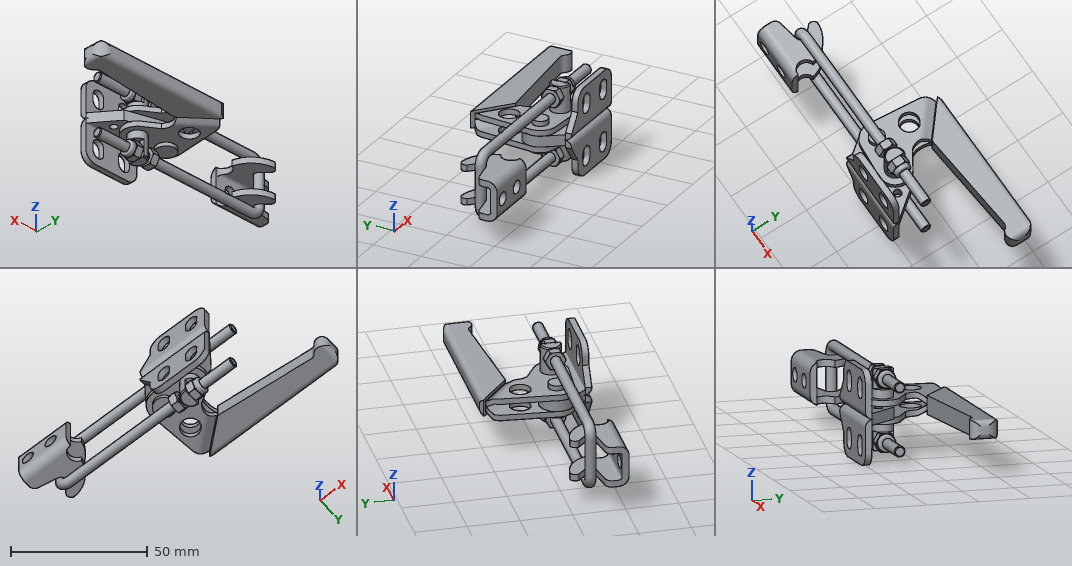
import cadquery as cq
import math


PIVOT = (58.9, 13.3)
TRUNNION = (72.5, 12.2)
BOLT_HEIGHT = TRUNNION[1]
SHEET = 2.3
WALL_THICKNESS = 4.5
WALL_HALF = WALL_THICKNESS / 2
LEVER_HALF = WALL_HALF + SHEET
JOINT_RADIUS = 6.6
ALL_Z = 48.3

KEEPER_LENGTH = 22.8
KEEPER_HALF = 8.2
KEEPER_SHEET = 2.7
KEEPER_BEND = 4.0
KEEPER_HOLE_X = (4.5, 15.5)
KEEPER_HOLE_RADIUS = 2.7
CORNER_TOP = (2.3, 8.6)
CORNER_MID = (0.6, 7.6)
CORNER_LOW_Y = 5.7
NOTCH_RADIUS = 2.2
NOTCH_UPPER_ANGLE = 45
NOTCH_MID_ANGLE = -20
NOTCH_LOWER_ANGLE = -80
HOOK_CENTRE = (9.3, 7.2)
HOOK_RADIUS = 12.8
HOOK_MID_ANGLE = 50
HOOK_TIP_TOP = (9.5, 20.0)
HOOK_TIP_FRONT = (8.1, 18.3)
HOOK_TIP_LOWER = (8.3, 16.9)
RELIEF_TOP_Y = 9.9
RELIEF_DEEP = (19.1, 5.8)
RELIEF_END_X = 21.7

BOLT_RADIUS = 2.0
BOLT_SPACING = 24.0
BOLT_Z = BOLT_SPACING / 2
BOLT_BEND = 4.0
BOLT_CROSS_X = 10.1
BOLT_END_X = 93.3
BOLT_CHAMFER = 0.4
NUT_CORNERS = 8.1
FRONT_NUT_X = 65.0
REAR_NUT_X = 73.2
NUT_THICKNESS = 3.3
NUT_CHAMFER = 0.4
COLLAR_LENGTH = 2.0
COLLAR_DIAMETER = 6.6
COLLAR_ROUND = 0.6
TRUNNION_RADIUS = 4.0
TRUNNION_TOP = 15.5
TRUNNION_CHAMFER = 0.5

PLATE_LEFT = 63.4
PLATE_RIGHT = 89.7
PLATE_HALF = 18.0
PLATE_SHEET = 2.5
PLATE_CORNER = 5.1
NECK_X = 58.5
NECK_Z = 3.0
SHOULDER_Z = 9.8
FOLD_RADIUS = 3.0
FOLD_FILLET = 0.5
SLOT_X = (70.0, 83.2)
SLOT_Z = 10.7
SLOT_WIDTH = 5.4
SLOT_LENGTH = 8.0
WALL_RADIUS = 6.8
WALL_MID_ANGLE = 150
WALL_REAR = (81.0, 13.9)
WALL_HOLE = (80.5, 8.0)
WALL_HOLE_RADIUS = 1.6

BEND_START = (55.3, 36.3)
BEND_ANGLE = 40.0
BEND_CORNER = 1.1
BEND_END = 4.6
BEND_FILLET = 3.7
SHEET_REACH = 120.7
LEVER_FRONT = (54.2, 34.4)
LEVER_CORNER_MID = (55.4, 37.9)
LEVER_TOP = 40.3
LEVER_TOP_X = 58.7
LEVER_REAR_ANGLE = -30
LEVER_FRONT_ANGLE = -140
CORE_END_X = 116.5
CORE_END_Y = 35.3
CORE_START = (71.2, 31.3)
CREST_TOP = (69.7, 29.8)
CREST_MID = (68.2, 25.6)
CREST_LOW = (69.7, 21.9)
LEVER_HOLE = (60.1, 26.8)
LEVER_HOLE_RADIUS = 4.0
RIVET_RADIUS = 2.4
RIVET_TOP_RADIUS = 3.1
RIVET_TOP_Z = 6.5
RIVET_BOTTOM_RADIUS = 4.3
RIVET_BOTTOM_Z = -6.2

GRIP_TOP = 42.4
GRIP_WIDTH = 7.1
GRIP_HALF = GRIP_WIDTH / 2
GRIP_END = 120.7
GRIP_ROUND = 2.2
GRIP_START = 5.0
GRIP_TIP_X = 57.0
GRIP_TOP_START = 58.9
GRIP_HEEL_X = 70.7
GRIP_CORNER = 5.1
GRIP_CORNER_MID_ANGLE = 45
GRIP_KNOB_DIAMETER = 6.9
GRIP_KNOB = GRIP_KNOB_DIAMETER / 2
GRIP_KNOB_Y = 34.9
GRIP_KNOB_LOW_ANGLE = -90
GRIP_KNOB_END_ANGLE = 220
GRIP_HOLLOW_START = (112.8, 33.5)
GRIP_HOLLOW_MID = (113.8, 33.3)


def on_circle(centre, radius, degrees):
    """Point of a circle at an angle from the X direction."""
    angle = math.radians(degrees)
    return (centre[0] + radius * math.cos(angle), centre[1] + radius * math.sin(angle))


def tangent_point(point, centre, radius, side):
    """Point where a line from `point` touches a circle; side +1 lies counter-clockwise."""
    dx = point[0] - centre[0]
    dy = point[1] - centre[1]
    angle = math.atan2(dy, dx) + side * math.acos(radius / math.hypot(dx, dy))
    return on_circle(centre, radius, math.degrees(angle))


def slab(outline, half):
    """Extrude a closed XY outline evenly to both sides of Z = 0."""
    return outline.extrude(half, both=True)


def rod(centre, radius, z_from, z_to):
    """Cylinder along Z."""
    return cq.Workplane("XY", origin=(*centre, z_from)).circle(radius).extrude(z_to - z_from)


def make_keeper():
    """U-shaped hook plate with two screw holes."""
    notch = (BOLT_CROSS_X, BOLT_HEIGHT)
    notch_mid = on_circle(notch, NOTCH_RADIUS, NOTCH_MID_ANGLE)
    notch_lower = on_circle(notch, NOTCH_RADIUS, NOTCH_LOWER_ANGLE)
    relief_x = HOOK_CENTRE[0] + math.sqrt(HOOK_RADIUS**2 - (RELIEF_TOP_Y - HOOK_CENTRE[1]) ** 2)
    profile = slab(
        cq.Workplane("XY")
        .lineTo(KEEPER_LENGTH, 0)
        .lineTo(KEEPER_LENGTH, KEEPER_SHEET)
        .lineTo(RELIEF_END_X, KEEPER_SHEET)
        .threePointArc(RELIEF_DEEP, (relief_x, RELIEF_TOP_Y))
        .threePointArc(on_circle(HOOK_CENTRE, HOOK_RADIUS, HOOK_MID_ANGLE), HOOK_TIP_TOP)
        .threePointArc(HOOK_TIP_FRONT, HOOK_TIP_LOWER)
        .lineTo(*on_circle(notch, NOTCH_RADIUS, NOTCH_UPPER_ANGLE))
        .threePointArc(notch_mid, notch_lower)
        .lineTo(*CORNER_TOP)
        .threePointArc(CORNER_MID, (0, CORNER_LOW_Y))
        .close(),
        KEEPER_HALF,
    )
    outer = (
        cq.Workplane("XY")
        .box(KEEPER_LENGTH, ALL_Z, 2 * KEEPER_HALF, centered=(False, False, True))
        .edges("|X and <Y")
        .fillet(KEEPER_BEND)
    )
    inner = (
        cq.Workplane("XY", origin=(0, KEEPER_SHEET, 0))
        .box(KEEPER_LENGTH, ALL_Z, 2 * (KEEPER_HALF - KEEPER_SHEET), centered=(False, False, True))
        .edges("|X and <Y")
        .fillet(KEEPER_BEND - KEEPER_SHEET)
    )
    holes = (
        cq.Workplane("XZ")
        .pushPoints([(x, 0) for x in KEEPER_HOLE_X])
        .circle(KEEPER_HOLE_RADIUS)
        .extrude(-KEEPER_SHEET)
    )
    return profile.intersect(outer.cut(inner)).cut(holes)


def make_nut(x):
    """Hexagon nut with one corner pointing up and its corners bevelled at both faces."""
    start = cq.Workplane("YZ", origin=(x, BOLT_HEIGHT, BOLT_Z))
    hexagon = start.polygon(6, NUT_CORNERS).extrude(NUT_THICKNESS)
    bevel = start.circle(NUT_CORNERS / 2).extrude(NUT_THICKNESS).edges().chamfer(NUT_CHAMFER)
    return hexagon.intersect(bevel)


def make_rod_half():
    """Upper half of the bent rod: half of the crossbar, a quarter bend and one leg."""
    bend_x = BOLT_CROSS_X + BOLT_BEND
    bend_z = BOLT_Z - BOLT_BEND
    crossbar = rod((BOLT_CROSS_X, BOLT_HEIGHT), BOLT_RADIUS, 0, bend_z)
    bend = (
        cq.Workplane("XY", origin=(BOLT_CROSS_X, BOLT_HEIGHT, bend_z))
        .circle(BOLT_RADIUS)
        .revolve(90, (BOLT_BEND, 0), (BOLT_BEND, 1))
    )
    leg = (
        cq.Workplane("YZ", origin=(bend_x, BOLT_HEIGHT, BOLT_Z))
        .circle(BOLT_RADIUS)
        .extrude(BOLT_END_X - bend_x)
        .faces(">X")
        .chamfer(BOLT_CHAMFER)
    )
    return crossbar.union(bend).union(leg)


def make_trunnion():
    """Upright post on the lever, cut flat where the rear nut seats."""
    post = rod(TRUNNION, TRUNNION_RADIUS, LEVER_HALF, TRUNNION_TOP).faces(">Z").chamfer(TRUNNION_CHAMFER)
    seat = cq.Workplane("XY", origin=(REAR_NUT_X, BOLT_HEIGHT, BOLT_Z - NUT_CORNERS / 2)).box(
        TRUNNION_RADIUS * 2, TRUNNION_RADIUS * 2, TRUNNION_TOP, centered=(False, True, False)
    )
    return post.cut(seat)


def make_bolt():
    """U-shaped rod joined to a trunnion and a pair of nuts on each leg."""
    collar = (
        cq.Workplane("YZ", origin=(REAR_NUT_X + NUT_THICKNESS, BOLT_HEIGHT, BOLT_Z))
        .circle(COLLAR_DIAMETER / 2)
        .extrude(COLLAR_LENGTH)
        .faces(">X")
        .edges()
        .fillet(COLLAR_ROUND)
    )
    half = make_rod_half().union(make_trunnion()).union(collar)
    for x in (FRONT_NUT_X, REAR_NUT_X):
        half = half.union(make_nut(x))
    return half.union(half.mirror("XY"))


def make_wall_section():
    """Upright wall with a flared foot, longer than the base."""
    foot_half = WALL_HALF + FOLD_FILLET
    foot_top = PLATE_SHEET + FOLD_FILLET
    wall = cq.Workplane("XY").box(2 * PLATE_RIGHT, ALL_Z, 2 * WALL_HALF)
    foot = cq.Workplane("XY").box(2 * PLATE_RIGHT, foot_top, 2 * foot_half, centered=(True, False, True))
    flare = (
        cq.Workplane("YZ")
        .pushPoints([(foot_top, foot_half), (foot_top, -foot_half)])
        .circle(FOLD_FILLET)
        .extrude(PLATE_RIGHT, both=True)
    )
    return wall.union(foot.cut(flare))


def make_base():
    """Folded base: slotted mounting plate with a double-thickness wall along its middle."""
    plate = (
        cq.Workplane("XZ")
        .polyline(
            [
                (NECK_X, -NECK_Z),
                (PLATE_LEFT, -SHOULDER_Z),
                (PLATE_LEFT, -PLATE_HALF),
                (PLATE_RIGHT, -PLATE_HALF),
                (PLATE_RIGHT, PLATE_HALF),
                (PLATE_LEFT, PLATE_HALF),
                (PLATE_LEFT, SHOULDER_Z),
                (NECK_X, NECK_Z),
            ]
        )
        .close()
        .extrude(-PLATE_SHEET)
    )
    plate = plate.edges("|Y and (<Z or >Z)").fillet(PLATE_CORNER)
    wall_outline = slab(
        cq.Workplane("XY")
        .moveTo(NECK_X, 0)
        .lineTo(PLATE_RIGHT, 0)
        .lineTo(PLATE_RIGHT, PLATE_SHEET)
        .lineTo(*WALL_REAR)
        .lineTo(*tangent_point(WALL_REAR, PIVOT, WALL_RADIUS, 1))
        .threePointArc(
            on_circle(PIVOT, WALL_RADIUS, WALL_MID_ANGLE),
            tangent_point((NECK_X, PLATE_SHEET), PIVOT, WALL_RADIUS, -1),
        )
        .lineTo(NECK_X, PLATE_SHEET)
        .close(),
        ALL_Z,
    )
    base = plate.union(wall_outline.intersect(make_wall_section()))
    groove = cq.Workplane("XY", origin=(NECK_X, 0, 0)).box(
        PLATE_RIGHT - NECK_X, FOLD_RADIUS, 2 * FOLD_RADIUS, centered=(False, False, True)
    )
    bends = (
        cq.Workplane("YZ", origin=(NECK_X, 0, 0))
        .pushPoints([(FOLD_RADIUS, FOLD_RADIUS), (FOLD_RADIUS, -FOLD_RADIUS)])
        .circle(FOLD_RADIUS)
        .extrude(PLATE_RIGHT - NECK_X)
    )
    slots = (
        cq.Workplane("XZ")
        .pushPoints([(x, z) for x in SLOT_X for z in (-SLOT_Z, SLOT_Z)])
        .slot2D(SLOT_LENGTH, SLOT_WIDTH, 90)
        .extrude(-PLATE_SHEET)
    )
    wall_hole = rod(WALL_HOLE, WALL_HOLE_RADIUS, -WALL_HALF, WALL_HALF)
    rivet_hole = rod(PIVOT, RIVET_RADIUS, -WALL_HALF, WALL_HALF)
    return base.cut(groove.cut(bends)).cut(slots).cut(wall_hole).cut(rivet_hole)


def bend_plane():
    """Plane across the lever bend: local x leads from the lever cheeks into the grip, local y is Z."""
    angle = math.radians(BEND_ANGLE)
    return cq.Plane(
        origin=(*BEND_START, 0),
        xDir=(math.sin(angle), math.cos(angle), 0),
        normal=(math.cos(angle), -math.sin(angle), 0),
    )


def make_cheek_sheet():
    """One bent sheet on the +Z side, larger than the lever outline."""
    plane = bend_plane()
    sheet = (
        cq.Workplane(plane)
        .polyline(
            [
                (-SHEET_REACH, WALL_HALF),
                (BEND_CORNER, WALL_HALF),
                (BEND_END, 0),
                (SHEET_REACH, 0),
                (SHEET_REACH, SHEET),
                (BEND_END, SHEET),
                (BEND_CORNER, LEVER_HALF),
                (-SHEET_REACH, LEVER_HALF),
            ]
        )
        .close()
        .extrude(SHEET_REACH, both=True)
    )
    for height, radius in ((LEVER_HALF, BEND_FILLET), (WALL_HALF, BEND_FILLET - SHEET)):
        corner = plane.toWorldCoords((BEND_CORNER, height)).toTuple()
        sheet = sheet.edges(cq.selectors.NearestToPointSelector(corner)).fillet(radius)
    return sheet


def make_lever():
    """Two bent cheeks that close into a core for the grip, with the pivot rivet."""
    slope = math.degrees(math.atan2(TRUNNION[1] - PIVOT[1], TRUNNION[0] - PIVOT[0]))
    rear_bottom = on_circle(TRUNNION, JOINT_RADIUS, slope - 90)
    front_top = tangent_point(LEVER_FRONT, PIVOT, JOINT_RADIUS, 1)
    outline = slab(
        cq.Workplane("XY")
        .moveTo(*LEVER_FRONT)
        .threePointArc(LEVER_CORNER_MID, (LEVER_TOP_X, LEVER_TOP))
        .lineTo(CORE_END_X, LEVER_TOP)
        .lineTo(CORE_END_X, CORE_END_Y)
        .lineTo(*CORE_START)
        .lineTo(*CREST_TOP)
        .threePointArc(CREST_MID, CREST_LOW)
        .lineTo(*tangent_point(CREST_LOW, TRUNNION, JOINT_RADIUS, -1))
        .threePointArc(on_circle(TRUNNION, JOINT_RADIUS, LEVER_REAR_ANGLE), rear_bottom)
        .lineTo(*on_circle(PIVOT, JOINT_RADIUS, slope - 90))
        .threePointArc(on_circle(PIVOT, JOINT_RADIUS, LEVER_FRONT_ANGLE), front_top)
        .close(),
        ALL_Z,
    )
    sheet = make_cheek_sheet()
    lever = outline.intersect(sheet.union(sheet.mirror("XY")))
    lever = lever.cut(rod(LEVER_HOLE, LEVER_HOLE_RADIUS, -LEVER_HALF, LEVER_HALF))
    return (
        lever.union(rod(PIVOT, RIVET_RADIUS, -LEVER_HALF, LEVER_HALF))
        .union(rod(PIVOT, RIVET_TOP_RADIUS, LEVER_HALF, RIVET_TOP_Z))
        .union(rod(PIVOT, RIVET_BOTTOM_RADIUS, RIVET_BOTTOM_Z, -LEVER_HALF))
    )


def make_grip(lever):
    """Sleeve moulded around the lever core."""
    start = bend_plane().toWorldCoords((GRIP_START, 0))
    fall = math.tan(math.radians(BEND_ANGLE))
    tip = (GRIP_TIP_X, start.y + (start.x - GRIP_TIP_X) * fall)
    heel = (GRIP_HEEL_X, start.y + (start.x - GRIP_HEEL_X) * fall)
    corner = (GRIP_END - GRIP_CORNER, GRIP_TOP - GRIP_CORNER)
    corner_mid = on_circle(corner, GRIP_CORNER, GRIP_CORNER_MID_ANGLE)
    knob = (GRIP_END - GRIP_KNOB, GRIP_KNOB_Y)
    knob_low = on_circle(knob, GRIP_KNOB, GRIP_KNOB_LOW_ANGLE)
    knob_end = on_circle(knob, GRIP_KNOB, GRIP_KNOB_END_ANGLE)
    outline = slab(
        cq.Workplane("XY")
        .moveTo(*tip)
        .lineTo(GRIP_TOP_START, GRIP_TOP)
        .lineTo(GRIP_END - GRIP_CORNER, GRIP_TOP)
        .threePointArc(corner_mid, (GRIP_END, corner[1]))
        .lineTo(GRIP_END, GRIP_KNOB_Y)
        .threePointArc(knob_low, knob_end)
        .threePointArc(GRIP_HOLLOW_MID, GRIP_HOLLOW_START)
        .lineTo(*heel)
        .close(),
        GRIP_HALF,
    )
    block = cq.Workplane("XY").box(GRIP_END, GRIP_TOP, 2 * GRIP_HALF, centered=(False, False, True))
    round_top = block.edges("|X and >Y").fillet(GRIP_ROUND)
    round_end = block.edges("|Y and >X").fillet(GRIP_ROUND)
    return outline.intersect(round_top).intersect(round_end).cut(lever)


keeper = make_keeper()
bolt = make_bolt()
base = make_base()
lever = make_lever()
grip = make_grip(lever)

result = cq.Compound.makeCompound([keeper.val(), bolt.val(), base.val(), lever.val(), grip.val()])